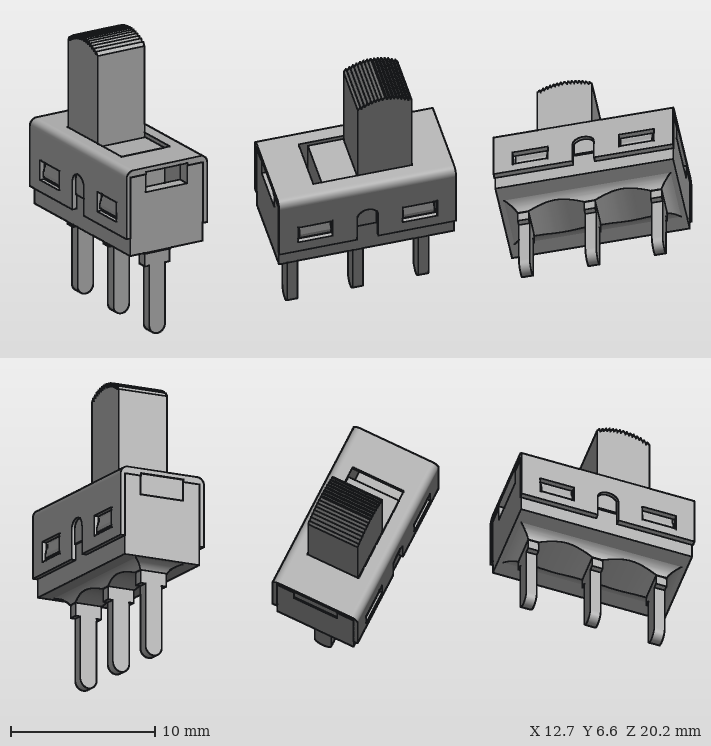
import cadquery as cq
import math


total_height = 20.2
body_bottom = 6.62
body_top = 12.44
cover_bottom = 7.95
cover_top = 12.95

body_length = 12.58
body_width = 5.92

cover_length = 12.7
cover_width = 6.6
cover_bend_radius = 0.57

opening_length = 7.13
opening_width = 3.95

cavity_length = 10.75
cavity_floor = 9.29
end_slot_width = 3.37
end_slot_bottom = 11.1

slider_top = 12.62
slider_right = 2.89
slider_end_recess = 0.08
knob_left = -3.53
knob_width = 3.84
knob_half_length = 1.94
knob_center = knob_left + knob_half_length
knob_shoulder = 19.36

crown_radius = 3.09
tooth_pitch = 0.252
tooth_depth = 0.28
teeth_per_side = 7
valley_offset = 0.3

window_center = 3.75
window_length = 2.5
window_bottom = 8.82
window_height = 1.45
wedge_center = 3.71
wedge_length = 2.25
wedge_bottom = 9.07
wedge_edge = 9.37
wedge_top = 10.1
wedge_reach = 0.18

notch_width = 1.51
notch_top = 10.76
pad_width = 1.4
pad_reach = 0.12

pin_spacing = 4.7
pin_thickness = 0.77
pin_width = 1.3
pin_shoulder_width = 2.02
pin_shoulder_bottom = 5.1

resin_length = 11.8
resin_width = 3.74
resin_tip = 6.04
resin_valley = 6.4
resin_tip_width = 2.1
resin_sag = 0.08


def block(length, width, bottom, top, x=0):
    """Upright box centred at (x, 0) between two levels."""
    box = cq.Workplane("XY").box(length, width, top - bottom, centered=(True, True, False))
    return box.translate((x, 0, bottom))


def make_notch():
    """Cutter with a half-round top, passing through both side walls of the cover."""
    radius = notch_width / 2
    spring_line = notch_top - radius
    return (
        cq.Workplane("XZ")
        .moveTo(-radius, cover_bottom)
        .lineTo(radius, cover_bottom)
        .lineTo(radius, spring_line)
        .threePointArc((0, notch_top), (-radius, spring_line))
        .close()
        .extrude(cover_width / 2, both=True)
    )


def make_cover():
    cover = block(cover_length, cover_width, cover_bottom, cover_top)
    cover = cover.edges("|X and >Z").fillet(cover_bend_radius)
    cover = cover.cut(block(cover_length, body_width, cover_bottom, body_top))
    window_top = window_bottom + window_height
    for x in (-window_center, window_center):
        cover = cover.cut(block(window_length, cover_width, window_bottom, window_top, x))
    return cover.cut(make_notch())


def make_wedge(x, side):
    """Latch wedge on one long face of the body; side is -1 or 1 along Y."""
    face = side * body_width / 2
    edge = side * (body_width / 2 + wedge_reach)
    outline = [
        (0, wedge_bottom),
        (edge, wedge_bottom),
        (edge, wedge_edge),
        (face, wedge_top),
        (0, wedge_top),
    ]
    wedge = cq.Workplane("YZ").polyline(outline).close().extrude(wedge_length / 2, both=True)
    return wedge.translate((x, 0, 0))


def make_body():
    body = block(body_length, body_width, body_bottom, body_top)
    for side in (-1, 1):
        for x in (-wedge_center, wedge_center):
            body = body.union(make_wedge(x, side))
    return body.union(block(pad_width, body_width + 2 * pad_reach, wedge_bottom, notch_top))


def cut_cavity(housing):
    housing = housing.cut(block(opening_length, opening_width, cavity_floor, cover_top))
    housing = housing.cut(block(cavity_length, opening_width, cavity_floor, slider_top))
    return housing.cut(block(cover_length, end_slot_width, end_slot_bottom, slider_top))


def make_slider():
    """Slider carriage filling the cavity up to its right end, with a tongue in the left end slot."""
    carriage_left = -cavity_length / 2
    tongue_left = -body_length / 2 + slider_end_recess
    carriage_length = slider_right - carriage_left
    tongue_length = slider_right - tongue_left
    carriage = block(
        carriage_length, opening_width, cavity_floor, slider_top, slider_right - carriage_length / 2
    )
    tongue = block(
        tongue_length, end_slot_width, end_slot_bottom, slider_top, slider_right - tongue_length / 2
    )
    return carriage.union(tongue)


def crown_point(offset, depth):
    """Point at an X offset from the knob centre, a depth below the crown arc."""
    drop = crown_radius - math.sqrt(crown_radius**2 - offset**2)
    return (knob_center + offset, total_height - depth - drop)


def make_knob():
    right_crown = []
    for tooth in range(1, teeth_per_side + 1):
        right_crown.append(crown_point((tooth - valley_offset) * tooth_pitch, tooth_depth))
        right_crown.append(crown_point(tooth * tooth_pitch, 0))
    left_crown = [(2 * knob_center - x, z) for x, z in reversed(right_crown)]
    knob_right = knob_center + knob_half_length
    outline = [(knob_left, end_slot_bottom), (knob_left, knob_shoulder)]
    outline += left_crown + [crown_point(0, 0)] + right_crown
    outline += [(knob_right, knob_shoulder), (knob_right, end_slot_bottom)]
    return cq.Workplane("XZ").polyline(outline).close().extrude(knob_width / 2, both=True)


def make_pin(x):
    tip_radius = pin_width / 2
    blade = (
        cq.Workplane("YZ")
        .moveTo(-tip_radius, body_bottom)
        .lineTo(-tip_radius, tip_radius)
        .threePointArc((0, 0), (tip_radius, tip_radius))
        .lineTo(tip_radius, body_bottom)
        .close()
        .extrude(pin_thickness / 2, both=True)
        .translate((x, 0, 0))
    )
    return blade.union(block(pin_thickness, pin_shoulder_width, pin_shoulder_bottom, body_bottom, x))


def make_resin():
    """Resin that creeps down each pin: a long profile crossed with a narrow one."""
    half_pin = pin_thickness / 2
    half_length = resin_length / 2
    outer_pin_edge = pin_spacing + half_pin
    inner_pin_edge = pin_spacing - half_pin
    end_middle_x = (half_length + outer_pin_edge) / 2 - resin_sag
    middle_z = (body_bottom + resin_tip) / 2 + resin_sag
    valley_x = pin_spacing / 2
    long_profile = (
        cq.Workplane("XZ")
        .moveTo(-half_length, body_bottom)
        .threePointArc((-end_middle_x, middle_z), (-outer_pin_edge, resin_tip))
        .lineTo(-inner_pin_edge, resin_tip)
        .threePointArc((-valley_x, resin_valley), (-half_pin, resin_tip))
        .lineTo(half_pin, resin_tip)
        .threePointArc((valley_x, resin_valley), (inner_pin_edge, resin_tip))
        .lineTo(outer_pin_edge, resin_tip)
        .threePointArc((end_middle_x, middle_z), (half_length, body_bottom))
        .close()
        .extrude(resin_width, both=True)
    )
    half_width = resin_width / 2
    half_tip = resin_tip_width / 2
    side_middle_y = (half_width + half_tip) / 2 - resin_sag
    narrow_profile = (
        cq.Workplane("YZ")
        .moveTo(-half_width, body_bottom)
        .threePointArc((-side_middle_y, middle_z), (-half_tip, resin_tip))
        .lineTo(half_tip, resin_tip)
        .threePointArc((side_middle_y, middle_z), (half_width, body_bottom))
        .close()
        .extrude(resin_length, both=True)
    )
    return long_profile.intersect(narrow_profile)


housing = cut_cavity(make_cover().union(make_body()))
result = housing.union(make_slider()).union(make_knob()).union(make_resin())
for pin_x in (-pin_spacing, 0, pin_spacing):
    result = result.union(make_pin(pin_x))